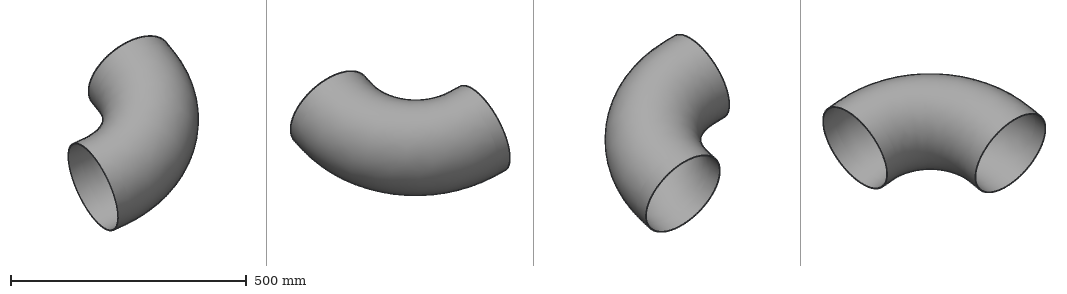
import cadquery as cq

outer_diameter = 203.2
wall_thickness = 2.0
straight_length = 30.0
bend_angle = 90.0

inner_diameter = outer_diameter - 2 * wall_thickness
bend_radius = outer_diameter


def pipe_section(plane, center):
    """Annular pipe cross-section on a plane, centred at a local point."""
    return (
        cq.Workplane(plane)
        .center(*center)
        .circle(outer_diameter / 2)
        .circle(inner_diameter / 2)
    )


def bend():
    """Quarter-turn elbow swept about the Z axis from the +X axis to the +Y axis."""
    return pipe_section("XZ", (bend_radius, 0)).revolve(
        bend_angle, (-bend_radius, 0), (-bend_radius, 1)
    )


def end_toward_minus_y():
    """Straight pipe end running from the bend toward -Y (the XZ plane normal)."""
    return pipe_section("XZ", (bend_radius, 0)).extrude(straight_length)


def end_toward_minus_x():
    """Straight pipe end running from the bend toward -X (against the YZ plane normal)."""
    return pipe_section("YZ", (bend_radius, 0)).extrude(-straight_length)


result = bend().union(end_toward_minus_y()).union(end_toward_minus_x())